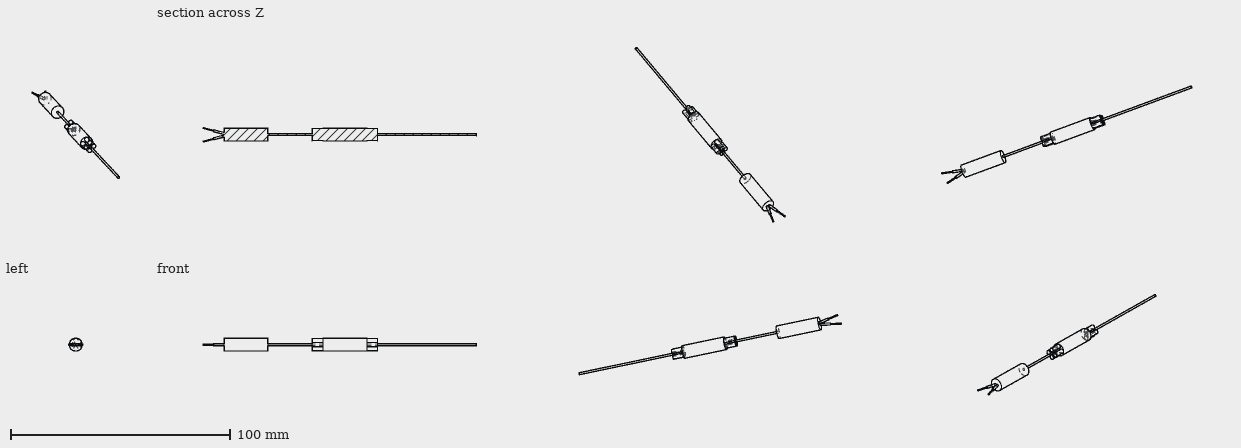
import cadquery as cq
import math

overall_length = 124.7
sleeve_length = 20.0
cable_gap = 20.2
grip_length = 20.0
collar_length = 5.0
tail_length = 45.0

body_diameter = 6.0
lobe_diameter = 2.0
lobe_count = 4
lobe_offset = 1.9
cable_diameter = 1.0
insulation_diameter = 1.06
conductor_diameter = 0.54

lead_angle = 15.0
overall_width = 6.7
stripped_length = 5.0
insulated_length = 5.0
embed_length = 0.6

rear_collar_end = overall_length - tail_length
grip_end = rear_collar_end - collar_length
grip_start = grip_end - grip_length
front_collar_start = grip_start - collar_length
sleeve_end = front_collar_start - cable_gap
sleeve_start = sleeve_end - sleeve_length


def rod(start, end, diameter):
    """Round bar along X between two stations."""
    return cq.Workplane("YZ", origin=(start, 0, 0)).circle(diameter / 2).extrude(end - start)


def lobed_collar(start, end):
    """Round core with evenly spaced round lobes that overlap its rim."""
    section = cq.Workplane("YZ", origin=(start, 0, 0))
    lobes = section.polarArray(lobe_offset, 0, 360, lobe_count).circle(lobe_diameter / 2).extrude(end - start)
    return rod(start, end, lobe_diameter).union(lobes)


def lead(side):
    """Insulated wire with a stripped conductor, slanting outward to one side in Y."""
    angle = math.radians(lead_angle)
    outward = cq.Vector(-math.cos(angle), side * math.sin(angle), 0)
    conductor_radius = conductor_diameter / 2
    tip = cq.Vector(
        conductor_radius * math.sin(angle),
        side * (overall_width / 2 - conductor_radius * math.cos(angle)),
        0,
    )
    strip_point = tip - outward * stripped_length
    root = strip_point - outward * (insulated_length + embed_length)
    insulation = cq.Solid.makeCylinder(
        insulation_diameter / 2, insulated_length + embed_length, root, outward
    )
    conductor = cq.Solid.makeCylinder(
        conductor_radius, stripped_length + embed_length, strip_point - outward * embed_length, outward
    )
    return cq.Workplane(insulation).union(cq.Workplane(conductor))


result = rod(sleeve_start, sleeve_end, body_diameter)
result = result.union(rod(sleeve_end - embed_length, overall_length, cable_diameter))
result = result.union(rod(grip_start, grip_end, body_diameter))
result = result.union(lobed_collar(front_collar_start, grip_start))
result = result.union(lobed_collar(grip_end, rear_collar_end))
for side in (-1, 1):
    result = result.union(lead(side))